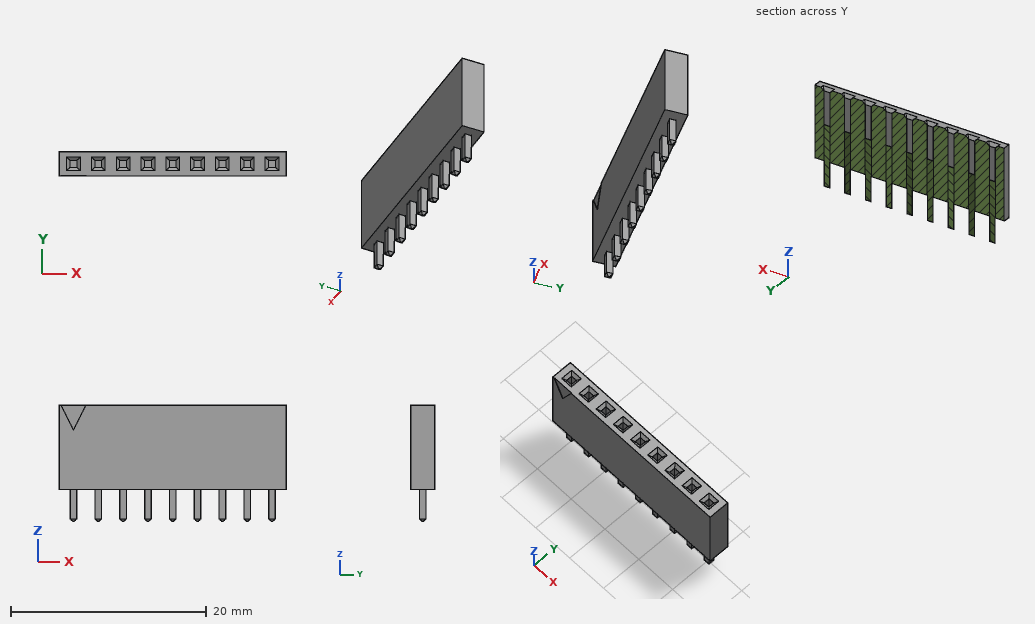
import cadquery as cq

pin_count = 9
pitch = 2.54
end_margin = 0.2
housing_length = pin_count * pitch + 2 * end_margin
housing_width = 2.5
overall_height = 11.9
housing_height = 8.65
pin_protrusion = overall_height - housing_height

pin_side = 0.7
pin_tip_length = 0.28
pin_tip_side = pin_side - 2 * pin_tip_length

funnel_side = 1.4
funnel_depth = 0.35
pin_top = housing_height / 2

mark_width = pitch
mark_height = pitch
mark_depth = 0.055

first_pin_x = -(pin_count - 1) * pitch / 2
pin_positions = [first_pin_x + index * pitch for index in range(pin_count)]


def make_frustum(x, bottom_z, bottom_side, height, top_side):
    """Square frustum standing on bottom_z and centred on the row at x."""
    return (
        cq.Workplane("XY", origin=(x, 0, bottom_z))
        .rect(bottom_side, bottom_side)
        .workplane(offset=height)
        .rect(top_side, top_side)
        .loft(ruled=True)
    )


def make_square_bar(x, bottom_z, top_z):
    """Upright bar with the pin's cross-section."""
    return (
        cq.Workplane("XY", origin=(x, 0, bottom_z))
        .rect(pin_side, pin_side)
        .extrude(top_z - bottom_z)
    )


def make_socket_cutter(x):
    """Through passage with a funnel at the top of the housing."""
    passage = make_square_bar(x, 0, housing_height)
    funnel = make_frustum(x, housing_height - funnel_depth, pin_side, funnel_depth, funnel_side)
    return passage.union(funnel)


def make_mark_cutter():
    """Downward-pointing triangle, centred over the first pin."""
    return (
        cq.Workplane("XZ", origin=(first_pin_x, -housing_width / 2, housing_height))
        .moveTo(-mark_width / 2, 0)
        .lineTo(mark_width / 2, 0)
        .lineTo(0, -mark_height)
        .close()
        .extrude(-mark_depth)
    )


def make_housing():
    block = cq.Workplane("XY").box(
        housing_length, housing_width, housing_height, centered=(True, True, False)
    )
    for x in pin_positions:
        block = block.cut(make_socket_cutter(x))
    return block.cut(make_mark_cutter())


def make_pin(x):
    shoulder_z = pin_tip_length - pin_protrusion
    shank = make_square_bar(x, shoulder_z, pin_top)
    tip = make_frustum(x, -pin_protrusion, pin_tip_side, pin_tip_length, pin_side)
    return shank.union(tip)


housing = make_housing()
pins = [make_pin(x) for x in pin_positions]

result = cq.Compound.makeCompound([housing.val(), *[pin.val() for pin in pins]])